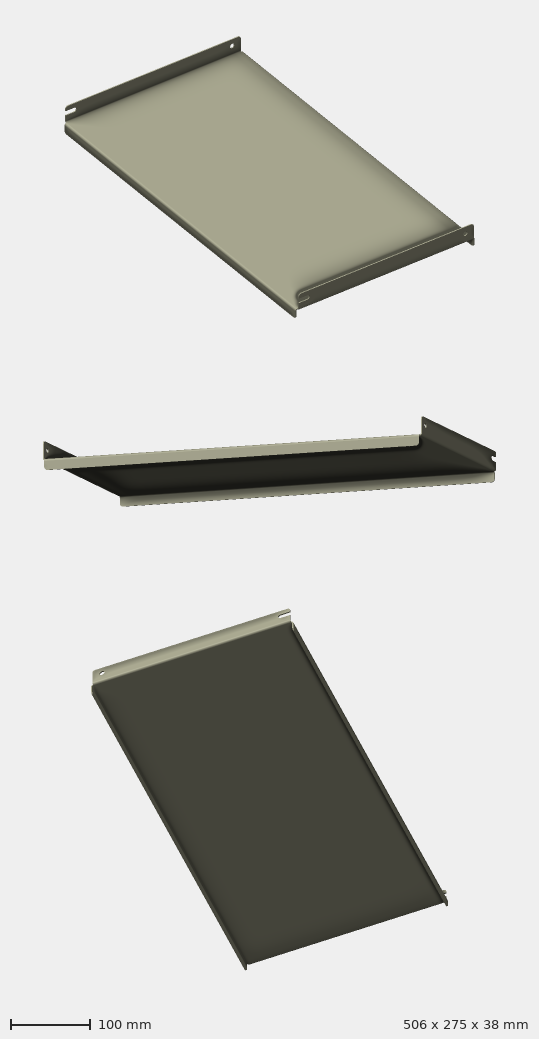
import cadquery as cq

length = 506.0
width = 275.0
height = 38.0

thickness = 1.5
bend_radius = 3.0
inner_radius = bend_radius - thickness
end_flange_height = 25.0
corner_radius = 4.0

hole_diameter = 6.5
hole_drop = 10.0
hole_inset = 16.0

floor_bottom = height - end_flange_height
floor_top = floor_bottom + thickness
hole_z = height - hole_drop

flat_length = length - 2 * bend_radius
flat_width = width - 2 * bend_radius


def bent_channel(plane, half_span, floor_outside, floor_inside, flange_end, depth):
    """Channel of constant thickness, with its outside on the floor_outside level."""
    turn = 1 if flange_end > floor_outside else -1
    bend_end = floor_outside + turn * bend_radius
    flat_end = half_span - bend_radius
    inner_face = half_span - thickness
    diagonal = 0.5 ** 0.5

    def bend_middle(radius):
        return (flat_end + radius * diagonal, bend_end - turn * radius * diagonal)

    half = (
        cq.Workplane(plane)
        .moveTo(0, floor_outside)
        .lineTo(flat_end, floor_outside)
        .threePointArc(bend_middle(bend_radius), (half_span, bend_end))
        .lineTo(half_span, flange_end)
        .lineTo(inner_face, flange_end)
        .lineTo(inner_face, bend_end)
        .threePointArc(bend_middle(inner_radius), (flat_end, floor_inside))
        .lineTo(0, floor_inside)
        .close()
        .extrude(depth / 2, both=True)
    )
    return half.union(half.rotate((0, 0, 0), (0, 0, 1), 180))


def end_flanges():
    """Floor with a flange turned up at each X end, its upper corners rounded."""
    channel = bent_channel("XZ", length / 2, floor_bottom, floor_top, height, flat_width)
    return channel.edges("|X and >Z").edges("<Y or >Y").fillet(corner_radius)


def skirts():
    """Floor with a skirt turned down along each long side, its lower corners rounded."""
    channel = bent_channel("YZ", width / 2, floor_top, floor_bottom, 0, flat_length)
    return channel.edges("|Y and <Z").edges("<X or >X").fillet(corner_radius)


def flange_cutouts():
    """Round hole at the back and open-ended slot at the front, through both end flanges."""
    hole_y = width / 2 - hole_inset
    holes = (
        cq.Workplane("YZ")
        .pushPoints([(-hole_y, hole_z), (hole_y, hole_z)])
        .circle(hole_diameter / 2)
        .extrude(length / 2, both=True)
    )
    slot_mouth = (
        cq.Workplane("YZ")
        .center(-hole_y - hole_inset / 2, hole_z)
        .rect(hole_inset, hole_diameter)
        .extrude(length / 2, both=True)
    )
    return holes.union(slot_mouth)


result = end_flanges().union(skirts()).cut(flange_cutouts())